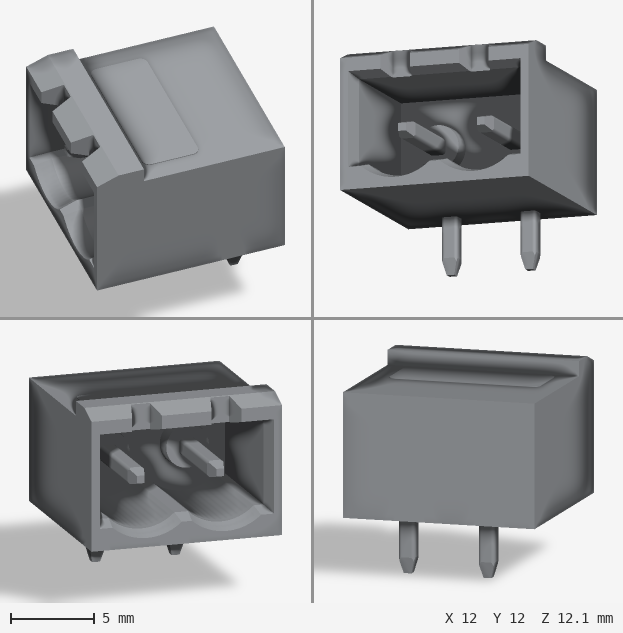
import cadquery as cq
import math

WIDTH = 12.0
DEPTH = 12.0
HEIGHT = 8.57
MAIN_TOP = 7.65
BAR_DEPTH = 3.0
BAR_SLOPE_DEPTH = 1.38
BAR_SLOPE_DROP = 0.51

PITCH = 5.0
POLE_X = [-PITCH / 2, PITCH / 2]
PIN_Z = 3.86

CAVITY_HALF_WIDTH = 5.18
CAVITY_TOP = 6.93
CAVITY_FLOOR = 1.68
TROUGH_RADIUS = 3.0
CAVITY_DEPTH = 8.45
MOUTH_DEPTH = 1.1
MOUTH_FLARE = 0.3

NOTCH_DEPTH = 1.3
NOTCH_HALF_FRONT = 0.94
NOTCH_HALF_BACK = 0.59

BOSS_BASE_RADIUS = 1.42
BOSS_TIP_RADIUS = 1.34
BOSS_HEIGHT = 1.0

PAD_WIDTH = 9.46
PAD_LENGTH = 3.58
PAD_FRONT = 3.51
PAD_CORNER = 0.48
PAD_HEIGHT = 0.05

PIN_SIZE = 1.01
PIN_CORNER = 0.22
PIN_TIP_SIZE = 0.48
PIN_TAPER = 1.0
PIN_FRONT = 1.22
LEG_Y = 9.98
LEG_LENGTH = 3.5


def housing_block():
    """Side outline of the housing, extruded across its width."""
    return (
        cq.Workplane("YZ", origin=(-WIDTH / 2, 0, 0))
        .polyline([
            (0, 0),
            (DEPTH, 0),
            (DEPTH, MAIN_TOP),
            (BAR_DEPTH, MAIN_TOP),
            (BAR_DEPTH, HEIGHT),
            (BAR_SLOPE_DEPTH, HEIGHT),
            (0, HEIGHT - BAR_SLOPE_DROP),
        ])
        .close()
        .extrude(WIDTH)
    )


def label_pad():
    """Thin raised pad with rounded corners on the roof."""
    return (
        cq.Workplane("XY", origin=(0, PAD_FRONT + PAD_LENGTH / 2, MAIN_TOP))
        .rect(PAD_WIDTH, PAD_LENGTH)
        .extrude(PAD_HEIGHT)
        .edges("|Z")
        .fillet(PAD_CORNER)
    )


def cavity_outline(y, offset):
    """Closed cavity outline at depth y, grown outwards by offset."""
    half_width = CAVITY_HALF_WIDTH + offset
    top = CAVITY_TOP + offset
    floor = CAVITY_FLOOR - offset
    radius = TROUGH_RADIUS + offset
    half_chord = math.sqrt(radius ** 2 - (PIN_Z - floor) ** 2)

    def at(x, z):
        return cq.Vector(x, y, z)

    edges = []
    corner = at(-half_width, floor)
    for x in POLE_X:
        start = at(x - half_chord, floor)
        end = at(x + half_chord, floor)
        edges.append(cq.Edge.makeLine(corner, start))
        edges.append(cq.Edge.makeThreePointArc(start, at(x, PIN_Z - radius), end))
        corner = end
    rest_of_outline = [
        at(half_width, floor),
        at(half_width, top),
        at(-half_width, top),
        at(-half_width, floor),
    ]
    for point in rest_of_outline:
        edges.append(cq.Edge.makeLine(corner, point))
        corner = point
    return cq.Wire.assembleEdges(edges)


def plug_cavity():
    """Straight cavity with two round floor troughs and a flared mouth."""
    inner = cavity_outline(MOUTH_DEPTH, 0)
    straight = cq.Solid.extrudeLinear(inner, [], cq.Vector(0, CAVITY_DEPTH - MOUTH_DEPTH, 0))
    mouth = cq.Solid.makeLoft([cavity_outline(0, MOUTH_FLARE), inner], True)
    return cq.Workplane(straight).union(cq.Workplane(mouth))


def keying_notch(x):
    """Tapered notch through the raised bar, open down into the cavity."""
    return (
        cq.Workplane("XY", origin=(x, 0, PIN_Z))
        .polyline([
            (-NOTCH_HALF_FRONT, 0),
            (NOTCH_HALF_FRONT, 0),
            (NOTCH_HALF_BACK, NOTCH_DEPTH),
            (-NOTCH_HALF_BACK, NOTCH_DEPTH),
        ])
        .close()
        .extrude(HEIGHT - PIN_Z)
    )


def pin_boss(x):
    """Slightly conical boss on the rear wall of the cavity."""
    return cq.Workplane(
        cq.Solid.makeCone(
            BOSS_BASE_RADIUS,
            BOSS_TIP_RADIUS,
            BOSS_HEIGHT,
            cq.Vector(x, CAVITY_DEPTH, PIN_Z),
            cq.Vector(0, -1, 0),
        )
    )


def tapered_bar(length):
    """Square bar with rounded edges along Z; its tapered tip is at Z = 0."""
    bar = (
        cq.Workplane("XY")
        .rect(PIN_SIZE, PIN_SIZE)
        .extrude(length)
        .edges("|Z")
        .fillet(PIN_CORNER)
    )
    envelope = (
        cq.Workplane("XY")
        .rect(PIN_TIP_SIZE, PIN_TIP_SIZE)
        .workplane(offset=PIN_TAPER)
        .rect(PIN_SIZE, PIN_SIZE)
        .loft(ruled=True)
        .faces(">Z")
        .wires()
        .toPending()
        .extrude(length - PIN_TAPER)
    )
    return bar.intersect(envelope)


def contact_pin(x):
    """Right-angled pin: contact pointing forward, solder leg pointing down."""
    contact = (
        tapered_bar(LEG_Y + PIN_SIZE / 2 - PIN_FRONT)
        .rotate((0, 0, 0), (1, 0, 0), -90)
        .translate((x, PIN_FRONT, PIN_Z))
    )
    leg = tapered_bar(LEG_LENGTH + PIN_Z + PIN_SIZE / 2).translate((x, LEG_Y, -LEG_LENGTH))
    return contact.union(leg)


pins = [contact_pin(x) for x in POLE_X]

housing = housing_block().union(label_pad()).cut(plug_cavity())
for x in POLE_X:
    housing = housing.cut(keying_notch(x)).union(pin_boss(x))
for pin in pins:
    housing = housing.cut(pin)

result = cq.Compound.makeCompound([
    housing.solids().val(),
    *[pin.solids().val() for pin in pins],
])